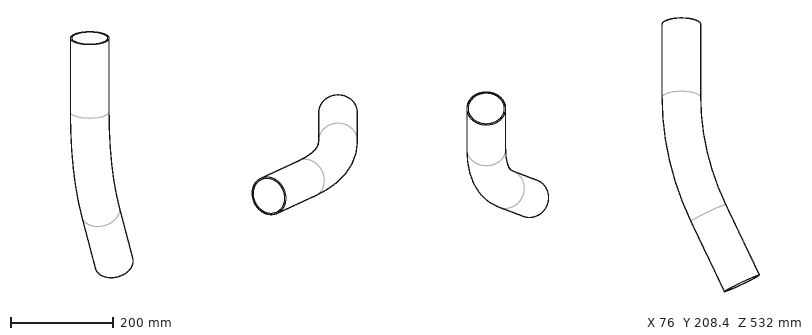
import cadquery as cq
import math

overall_height = 532.0
outer_diameter = 76.0
bore_diameter = 70.0
leg_length = 152.5
bend_angle = 30.0

angle = math.radians(bend_angle)
end_overhang = outer_diameter / 2 * math.sin(angle)
legs_height = leg_length * (1 + math.cos(angle))
bend_radius = (overall_height - legs_height - end_overhang) / math.sin(angle)


def bend_point(turn):
    """Point (Y, Z) on the bend centreline after turning by the given angle."""
    return (
        bend_radius * (1 - math.cos(turn)),
        -leg_length - bend_radius * math.sin(turn),
    )


bend_end_y, bend_end_z = bend_point(angle)
lower_end = (
    bend_end_y + leg_length * math.sin(angle),
    bend_end_z - leg_length * math.cos(angle),
)
centreline = (
    cq.Workplane("YZ")
    .lineTo(*bend_point(0))
    .threePointArc(bend_point(angle / 2), (bend_end_y, bend_end_z))
    .lineTo(*lower_end)
)

result = (
    cq.Workplane("XY")
    .circle(outer_diameter / 2)
    .circle(bore_diameter / 2)
    .sweep(centreline)
)